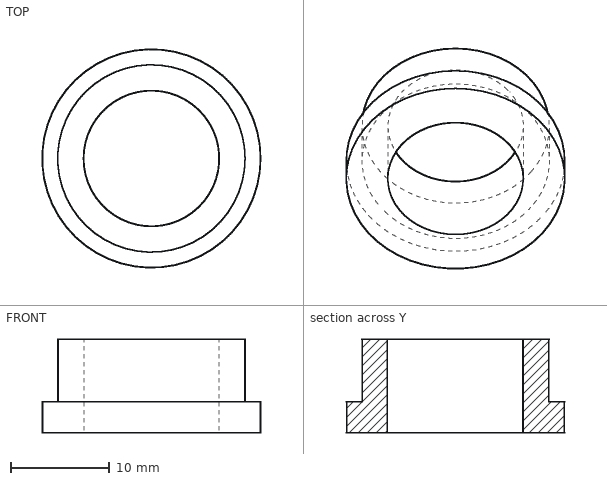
import cadquery as cq

flange_diameter = 22.225
body_diameter = 19.05
bore_diameter = 13.77
total_height = 9.525
flange_thickness = 3.175


def make_flange():
    """Disc at the base of the bushing, resting on Z = 0."""
    return cq.Workplane("XY").circle(flange_diameter / 2).extrude(flange_thickness)


def add_body(flange):
    """Cylindrical body rising from the flange to the full height."""
    body_height = total_height - flange_thickness
    return flange.faces(">Z").workplane().circle(body_diameter / 2).extrude(body_height)


def cut_bore(bushing):
    """Plain bore through the whole height."""
    return bushing.faces(">Z").workplane().hole(bore_diameter)


result = cut_bore(add_body(make_flange()))